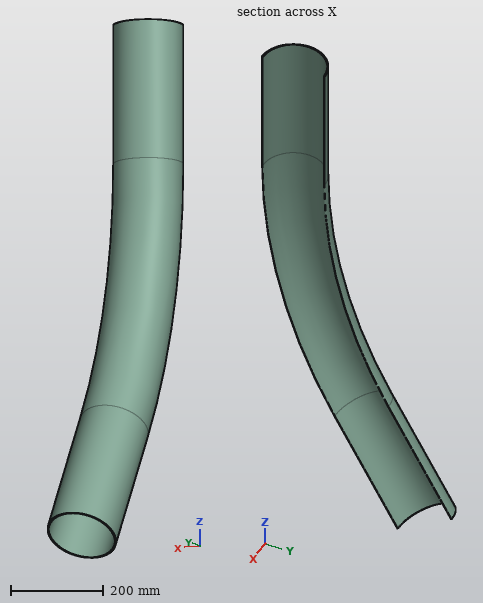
import cadquery as cq
import math

outer_diameter = 152.4
inner_diameter = 146.3
leg_length = 304.8
bend_radius = 1219.2
bend_angle = 30.0


def bend_point(angle):
    """Centreline point (Y, Z) after turning by angle; the bend starts at the origin, heading down."""
    turn = math.radians(angle)
    return (bend_radius * (1 - math.cos(turn)), -bend_radius * math.sin(turn))


def centreline():
    """Vertical upper leg, bend towards +Y, then the inclined lower leg."""
    bend_end_y, bend_end_z = bend_point(bend_angle)
    tilt = math.radians(bend_angle)
    lower_end = (
        bend_end_y + leg_length * math.sin(tilt),
        bend_end_z - leg_length * math.cos(tilt),
    )
    return (
        cq.Workplane("YZ")
        .moveTo(0, leg_length)
        .lineTo(0, 0)
        .threePointArc(bend_point(bend_angle / 2), (bend_end_y, bend_end_z))
        .lineTo(*lower_end)
    )


def tube():
    """Ring section swept from the top opening along the centreline."""
    return (
        cq.Workplane("XY", origin=(0, 0, leg_length))
        .circle(outer_diameter / 2)
        .circle(inner_diameter / 2)
        .sweep(centreline())
    )


result = tube()